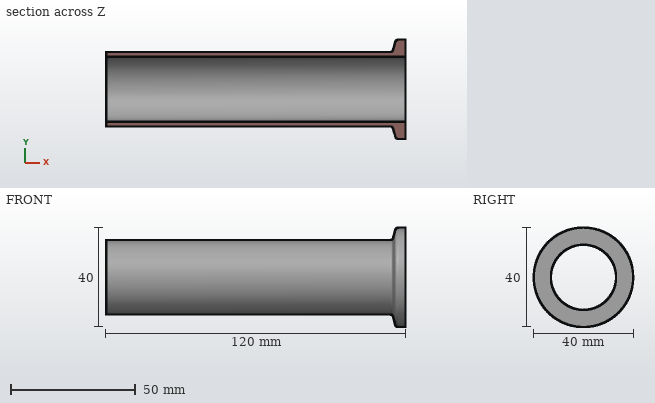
import cadquery as cq
import math

length = 120.0
bore_diameter = 26.0
tube_diameter = 30.0
flange_diameter = 40.0

rim_width = 2.9
back_slope = math.radians(15)
rim_round = 1.5
root_fillet = 1.0

bore_radius = bore_diameter / 2
tube_radius = tube_diameter / 2
flange_radius = flange_diameter / 2

tangent_factor = math.tan((math.pi / 2 - back_slope) / 2)
back_corner_x = length - rim_width - rim_round * tangent_factor
root_x = back_corner_x - (flange_radius - tube_radius) * math.tan(back_slope)

body = (
    cq.Workplane("XY")
    .moveTo(0, bore_radius)
    .lineTo(0, tube_radius)
    .lineTo(root_x, tube_radius)
    .lineTo(back_corner_x, flange_radius)
    .lineTo(length, flange_radius)
    .lineTo(length, bore_radius)
    .close()
    .revolve(360, (0, 0, 0), (1, 0, 0))
)

body = body.faces("%CONE").edges(">X").fillet(rim_round)
result = body.faces("%CONE").edges("<X").fillet(root_fillet)